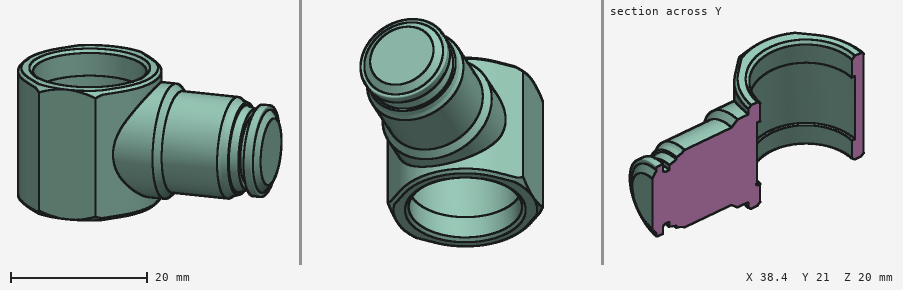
import cadquery as cq
import math

overall_length = 38.4

body_width = 21.0
body_radius = body_width / 2
body_height = 20.0
edge_chamfer = 0.5
bore_radius = 8.3
recess_radius = 8.85
mouth_radius = recess_radius
mouth_depth = 0.5
bore_land = 4.0

collar_radius = 8.5
collar_end = 12.45
stem_radius = 7.5
stem_start = 13.5
stem_end = 22.05
nose_start = 22.58
nose_start_radius = 7.1
nose_end = 23.5
nose_end_radius = 6.8
tip_start_radius = 6.4
tip_end = 24.8
tip_end_radius = 5.95
neck_radius = 5.03
neck_fillet = 0.5
ring_start = 25.9
ring_radius = 6.75
ring_rim_end = 26.9
ring_corner = 0.2
cone_start_radius = 6.1
ring_end = overall_length - body_radius
ring_end_radius = 4.9


def barrel():
    """Round barrel with 45-degree tangent flats, front and back flats, and chamfered rims."""
    tangent = body_radius * math.sqrt(0.5)
    apex = body_radius * math.sqrt(2)
    blank = (
        cq.Workplane("XY")
        .workplane(offset=-body_height / 2)
        .moveTo(0, apex)
        .lineTo(-tangent, tangent)
        .threePointArc((-body_radius, 0), (-tangent, -tangent))
        .lineTo(0, -apex)
        .lineTo(tangent, -tangent)
        .threePointArc((body_radius, 0), (tangent, tangent))
        .close()
        .extrude(body_height)
        .faces("|Z")
        .chamfer(edge_chamfer)
    )
    slab = cq.Workplane("XY").box(2 * apex, body_width, body_height)
    cone_height = apex - body_radius
    envelope = (
        cq.Workplane("XY")
        .workplane(offset=-body_height / 2)
        .circle(apex)
        .extrude(body_height)
        .faces("|Z")
        .chamfer(cone_height)
    )
    return blank.intersect(slab).intersect(envelope)


def branch():
    """Solid of revolution about the X axis, starting inside the barrel."""
    bend = math.sqrt(0.5)
    face_start = ring_rim_end + ring_corner
    neck_end = ring_start - neck_fillet
    profile = (
        cq.Workplane("XY")
        .lineTo(0, collar_radius)
        .lineTo(collar_end, collar_radius)
        .lineTo(stem_start, stem_radius)
        .lineTo(stem_end, stem_radius)
        .lineTo(nose_start, nose_start_radius)
        .lineTo(nose_end, nose_end_radius)
        .lineTo(nose_end, tip_start_radius)
        .lineTo(tip_end, tip_end_radius)
        .lineTo(tip_end, neck_radius)
        .lineTo(neck_end, neck_radius)
        .threePointArc(
            (neck_end + neck_fillet * bend, neck_radius + neck_fillet * (1 - bend)),
            (ring_start, neck_radius + neck_fillet),
        )
        .lineTo(ring_start, ring_radius)
        .lineTo(ring_rim_end, ring_radius)
        .threePointArc(
            (face_start - ring_corner * (1 - bend), ring_radius - ring_corner * (1 - bend)),
            (face_start, ring_radius - ring_corner),
        )
        .lineTo(face_start, cone_start_radius)
        .lineTo(ring_end, ring_end_radius)
        .lineTo(ring_end, 0)
        .close()
    )
    return profile.revolve(360, (0, 0, 0), (1, 0, 0))


def main_bore():
    """Through bore with chamfered mouths and a wider recess between two lands."""
    half = body_height / 2
    recess_half = half - bore_land
    return (
        cq.Workplane("XZ")
        .moveTo(0, -half)
        .lineTo(mouth_radius, -half)
        .lineTo(bore_radius, mouth_depth - half)
        .lineTo(bore_radius, -recess_half)
        .lineTo(recess_radius, -recess_half)
        .lineTo(recess_radius, recess_half)
        .lineTo(bore_radius, recess_half)
        .lineTo(bore_radius, half - mouth_depth)
        .lineTo(mouth_radius, half)
        .lineTo(0, half)
        .close()
        .revolve(360, (0, 0, 0), (0, 1, 0))
    )


result = barrel().union(branch()).cut(main_bore())